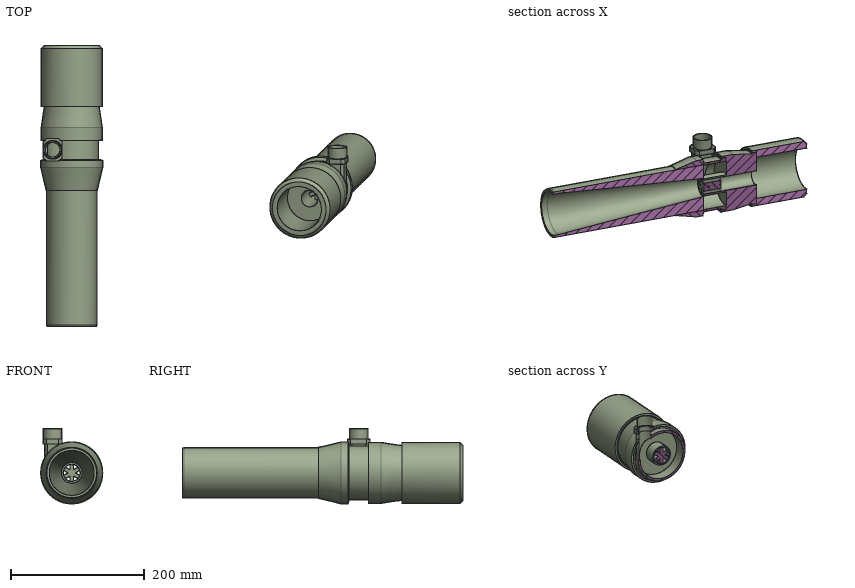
import cadquery as cq
OUTLET_END = 0.0
HOUSING_START = 203.5
CONE_END = 237.5
NECK_START = 249.5
NECK_END = 278.0
COLLAR_END = 297.0
SLEEVE_START = 328.5
SUCTION_END = 420.0

PIPE_RADIUS = 38.0
PIPE_CHAMFER_LENGTH = 3.0
PIPE_CHAMFER_DEPTH = 0.65
MOUTH_RADIUS = 33.5
MOUTH_DEPTH = 9.2
THROAT_RADIUS = 15.5
HOUSING_RADIUS = 93.0 / 2
HOUSING_SMALL_RADIUS = 38.2
HOUSING_CHAMFER_LENGTH = 1.5
HOUSING_CHAMFER_DEPTH = 5.0

COLLAR_RADIUS = 46.0
COLLAR_SMALL_RADIUS = 41.0
NOZZLE_RADIUS = THROAT_RADIUS
NOZZLE_BORE_RADIUS = 12.5
SLEEVE_CHAMFER = 5.0
SLEEVE_BORE_RADIUS = 33.5

SPIGOT_RADIUS = 43.0
SPIGOT_LENGTH = 8.5
NECK_SPIGOT_END = NECK_END + SPIGOT_LENGTH
COLLAR_SPIGOT_END = SLEEVE_START + SPIGOT_LENGTH

ARM_COUNT = 6
ARM_WIDTH = 6.0
STAR_LENGTH = NECK_END - NECK_START

NECK_RADIUS = 40.5
CHAMBER_RADIUS = 36.0
INLET_X = -28.5
INLET_Y = (NECK_START + NECK_END) / 2
BLOCK_WIDTH = 2 * (NECK_RADIUS + INLET_X)
BLOCK_LENGTH = NECK_END - NECK_START
BLOCK_CHAMFER = 4.0
BLOCK_TOP = 43.0
BLOCK_BORE_RADIUS = 11.0

FLANGE_WIDTH = 28.0
FLANGE_LENGTH = 34.0
FLANGE_THICKNESS = 7.5
FLANGE_CHAMFER = 5.0
TUBE_RADIUS = FLANGE_WIDTH / 2
TUBE_BORE_RADIUS = 13.0
TOTAL_HEIGHT = 112.5
TUBE_TOP = TOTAL_HEIGHT - HOUSING_RADIUS


def revolve_about_y(profile):
    """Turn a closed profile of (radius, y) points about the Y axis."""
    return cq.Workplane("XY").polyline(profile).close().revolve(360, (0, 0, 0), (0, 1, 0))


def cylinder_along_y(radius, start, end):
    return cq.Workplane("XZ", origin=(0, start, 0)).circle(radius).extrude(start - end)


def inlet_prism(width, length, corner, bottom, top):
    """Upright block with chamfered corners, centred on the inlet axis."""
    block = cq.Workplane("XY", origin=(INLET_X, INLET_Y, bottom)).rect(width, length).extrude(top - bottom)
    return block.edges("|Z").chamfer(corner)


def inlet_cylinder(radius, bottom, top):
    """Upright cylinder on the inlet axis."""
    return cq.Workplane("XY", origin=(INLET_X, INLET_Y, bottom)).circle(radius).extrude(top - bottom)


def make_outlet_pipe():
    """Straight pipe whose bore narrows from the mouth to the throat."""
    return revolve_about_y([
        (MOUTH_RADIUS, OUTLET_END),
        (PIPE_RADIUS - PIPE_CHAMFER_DEPTH, OUTLET_END),
        (PIPE_RADIUS, OUTLET_END + PIPE_CHAMFER_LENGTH),
        (PIPE_RADIUS, NECK_START),
        (THROAT_RADIUS, NECK_START),
        (MOUTH_RADIUS, OUTLET_END + MOUTH_DEPTH),
    ])


def make_housing():
    """Tapered ring around the inner end of the outlet pipe."""
    return revolve_about_y([
        (PIPE_RADIUS, HOUSING_START),
        (HOUSING_SMALL_RADIUS, HOUSING_START),
        (HOUSING_RADIUS, CONE_END),
        (HOUSING_RADIUS, NECK_START - HOUSING_CHAMFER_LENGTH),
        (HOUSING_RADIUS - HOUSING_CHAMFER_DEPTH, NECK_START),
        (PIPE_RADIUS, NECK_START),
    ])


def make_neck():
    """Ring around the swirl chamber, with a spigot at its end and the inlet block tangent to its side."""
    ring = cylinder_along_y(NECK_RADIUS, NECK_START, NECK_END)
    block = inlet_prism(BLOCK_WIDTH, BLOCK_LENGTH, BLOCK_CHAMFER, 0, BLOCK_TOP)
    spigot = cylinder_along_y(SPIGOT_RADIUS, NECK_END, NECK_SPIGOT_END)
    chamber = cylinder_along_y(CHAMBER_RADIUS, NECK_START, NECK_SPIGOT_END)
    inlet_bore = inlet_cylinder(BLOCK_BORE_RADIUS, 0, BLOCK_TOP)
    return ring.union(block).union(spigot).cut(chamber).cut(inlet_bore)


def make_inlet_connector():
    flange_top = BLOCK_TOP + FLANGE_THICKNESS
    flange = inlet_prism(FLANGE_WIDTH, FLANGE_LENGTH, FLANGE_CHAMFER, BLOCK_TOP, flange_top)
    tube = inlet_cylinder(TUBE_RADIUS, flange_top, TUBE_TOP)
    flange_bore = inlet_cylinder(BLOCK_BORE_RADIUS, BLOCK_TOP, flange_top)
    tube_bore = inlet_cylinder(TUBE_BORE_RADIUS, flange_top, TUBE_TOP)
    return flange.union(tube).cut(flange_bore).cut(tube_bore)


def make_collar():
    """Tapered collar whose nozzle reaches through the swirl chamber to the throat."""
    return revolve_about_y([
        (NOZZLE_BORE_RADIUS, NECK_START),
        (NOZZLE_RADIUS, NECK_START),
        (NOZZLE_RADIUS, NECK_SPIGOT_END),
        (SPIGOT_RADIUS, NECK_SPIGOT_END),
        (SPIGOT_RADIUS, NECK_END),
        (COLLAR_RADIUS, NECK_END),
        (COLLAR_RADIUS, COLLAR_END),
        (COLLAR_SMALL_RADIUS, SLEEVE_START),
        (SPIGOT_RADIUS, SLEEVE_START),
        (SPIGOT_RADIUS, COLLAR_SPIGOT_END),
        (NOZZLE_BORE_RADIUS, COLLAR_SPIGOT_END),
    ])


def make_star():
    """Arms that cross on the axis, rounded at their tips to fit the nozzle bore."""
    bar_count = ARM_COUNT // 2
    first_bar = cq.Workplane("XY").box(ARM_WIDTH, STAR_LENGTH, 2 * NOZZLE_RADIUS)
    first_bar = first_bar.translate((0, NECK_START + STAR_LENGTH / 2, 0))
    star = first_bar
    for index in range(1, bar_count):
        star = star.union(first_bar.rotate((0, 0, 0), (0, 1, 0), index * 180 / bar_count))
    return star.intersect(cylinder_along_y(NOZZLE_BORE_RADIUS, NECK_START, NECK_END))


def make_suction_sleeve():
    return revolve_about_y([
        (SLEEVE_BORE_RADIUS, COLLAR_SPIGOT_END),
        (SPIGOT_RADIUS, COLLAR_SPIGOT_END),
        (SPIGOT_RADIUS, SLEEVE_START),
        (COLLAR_RADIUS, SLEEVE_START),
        (COLLAR_RADIUS, SUCTION_END - SLEEVE_CHAMFER),
        (COLLAR_RADIUS - SLEEVE_CHAMFER, SUCTION_END),
        (SLEEVE_BORE_RADIUS, SUCTION_END),
    ])


outlet_pipe = make_outlet_pipe()
housing = make_housing()
neck = make_neck()
inlet_connector = make_inlet_connector()
collar = make_collar()
star = make_star()
suction_sleeve = make_suction_sleeve()

result = cq.Compound.makeCompound([
    outlet_pipe.val(),
    housing.val(),
    neck.val(),
    inlet_connector.val(),
    collar.val(),
    star.val(),
    suction_sleeve.val(),
])